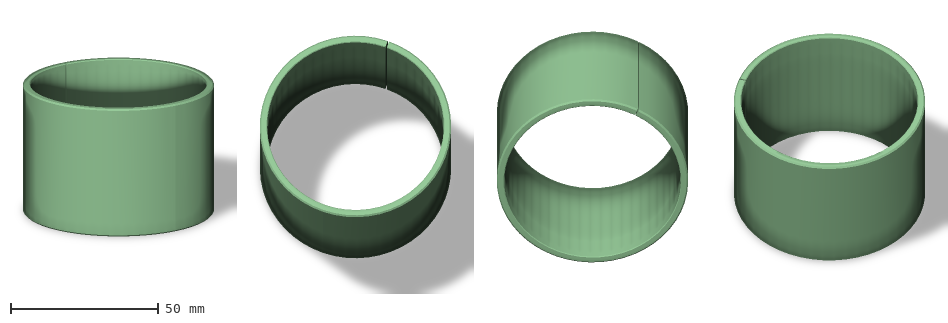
import cadquery as cq

outer_diameter = 65.0
inner_diameter = 60.0
height = 45.0
outer_chamfer = 0.5
inner_chamfer = 0.25
slit_width = 0.5
slit_start_y = 0.0

outer_radius = outer_diameter / 2
inner_radius = inner_diameter / 2


def make_sleeve():
    """Plain tube with chamfered outer and inner rims."""
    outer = cq.Workplane("XY").circle(outer_radius).extrude(height)
    outer = outer.faces("<Z or >Z").chamfer(outer_chamfer)
    bore = cq.Workplane("XY").circle(inner_radius).extrude(height)
    sleeve = outer.cut(bore)
    bore_rims = sleeve.faces("<Z or >Z").edges(cq.selectors.RadiusNthSelector(0))
    return bore_rims.chamfer(inner_chamfer)


def make_slit():
    """Full-height cutter through the wall on the -X side."""
    return cq.Workplane("XY").box(
        outer_radius, slit_width, height, centered=False
    ).translate((-outer_radius, slit_start_y, 0))


result = make_sleeve().cut(make_slit())